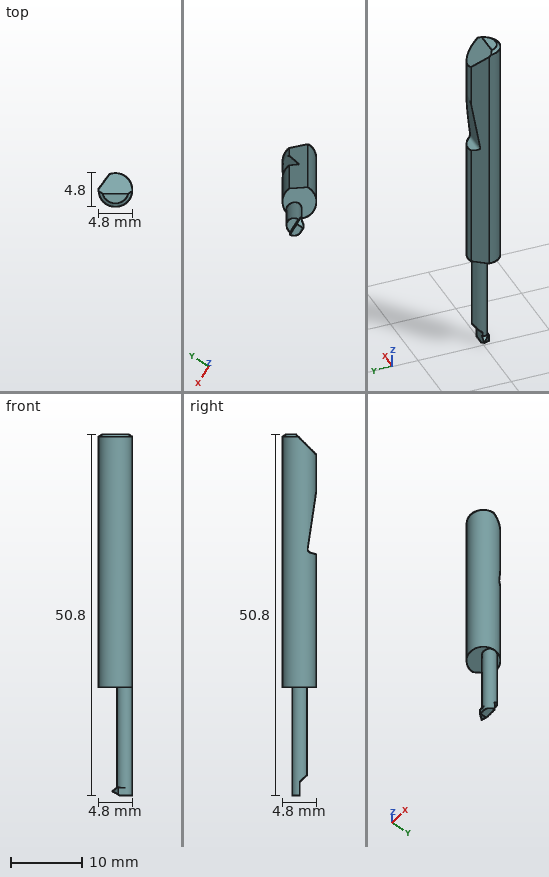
import cadquery as cq
import math

total_length = 50.8
neck_length = 15.25
shank_radius = 2.4

end_chamfer_width = 0.5
end_chamfer_height = 0.35
bevel_start_y = -0.5
flat_start_y = 0.15
flat_end_y = 2.25
notch_top_drop = 8.05
notch_floor_drop = 16.05
notch_bottom_drop = 16.85
notch_depth = 1.25
notch_fillet = 0.45

neck_diameter = 2.2
neck_radius = neck_diameter / 2
neck_center_x = shank_radius - neck_radius
rake_y = 0.05
neck_back_y = rake_y - neck_radius
relief_top_y = 1.05
relief_mid_x = 0.55
relief_mid_y = 0.7
rake_corner_z = 1.95
ramp_height = 0.95

tooth_point_x = -0.45
tooth_point_z = 0.6
tooth_heel_x = 0.43
tooth_heel_z = 0.15
tooth_root_z = 1.3
tooth_top_drop = 0.2

over = 0.5


def extrude_along_x(points, half_width):
    """Prism with a (y, z) outline, centred on X = 0."""
    return cq.Workplane("YZ").polyline(points).close().extrude(half_width, both=True)


def make_shank():
    cutter_width = 2 * shank_radius
    shank = (
        cq.Workplane("XY")
        .workplane(offset=neck_length)
        .circle(shank_radius)
        .extrude(total_length - neck_length)
        .faces(">Z")
        .chamfer(end_chamfer_height, end_chamfer_width)
    )
    return (
        shank.cut(make_side_flat())
        .cut(make_end_bevel(cutter_width))
        .cut(make_clamp_notch(cutter_width))
    )


def make_side_flat():
    """Segment of the shank outside the side chord."""
    start_x = -math.sqrt(shank_radius**2 - flat_start_y**2)
    end_x = -math.sqrt(shank_radius**2 - flat_end_y**2)
    middle_angle = (math.atan2(flat_start_y, start_x) + math.atan2(flat_end_y, end_x)) / 2
    outside = 2 * shank_radius
    return (
        cq.Workplane("XY")
        .workplane(offset=neck_length)
        .moveTo(start_x, flat_start_y)
        .lineTo(outside * math.cos(middle_angle), outside * math.sin(middle_angle))
        .lineTo(end_x, flat_end_y)
        .close()
        .extrude(total_length - neck_length)
    )


def make_end_bevel(width):
    outer_y = shank_radius + over
    return extrude_along_x(
        [
            (bevel_start_y, total_length),
            (outer_y, total_length - (outer_y - bevel_start_y)),
            (outer_y, total_length + over),
            (bevel_start_y, total_length + over),
        ],
        width,
    )


def make_clamp_notch(width):
    """Sloping clamp seat across the +Y side, with a rounded inner corner."""
    top_z = total_length - notch_top_drop
    floor_z = total_length - notch_floor_drop - notch_fillet
    bottom_z = total_length - notch_bottom_drop
    floor_y = shank_radius - notch_depth
    notch = extrude_along_x(
        [
            (shank_radius, top_z),
            (floor_y, floor_z),
            (shank_radius, bottom_z),
            (shank_radius + over, bottom_z),
            (shank_radius + over, top_z),
        ],
        width,
    )
    return notch.edges("<Y").fillet(notch_fillet)


def make_below_tooth_top():
    """Slab between the rake face and the back of the neck, under the sloping tooth top."""
    return extrude_along_x(
        [
            (rake_y, 0),
            (rake_y, tooth_root_z),
            (neck_back_y, tooth_root_z - tooth_top_drop),
            (neck_back_y, 0),
        ],
        2 * shank_radius,
    )


def make_neck():
    """Round on the -Y side and relieved on the +Y side, ending at the rake face."""
    left_x = neck_center_x - neck_radius
    right_x = neck_center_x + neck_radius
    relief_crown_x = neck_center_x + math.sqrt(neck_radius**2 - (relief_top_y - rake_y) ** 2)
    diagonal = neck_radius / math.sqrt(2)
    neck = (
        cq.Workplane("XY")
        .moveTo(left_x, rake_y)
        .threePointArc((neck_center_x, neck_back_y), (right_x, rake_y))
        .threePointArc((neck_center_x + diagonal, rake_y + diagonal), (relief_crown_x, relief_top_y))
        .threePointArc((relief_mid_x, relief_mid_y), (left_x, rake_y))
        .close()
        .extrude(neck_length)
    )
    rake_cut = extrude_along_x(
        [
            (rake_y, -over),
            (rake_y, rake_corner_z),
            (relief_top_y, rake_corner_z + ramp_height),
            (neck_radius + over, rake_corner_z + ramp_height),
            (neck_radius + over, -over),
        ],
        2 * shank_radius,
    )
    corner = cq.Workplane("XY").box(
        shank_radius, 2 * shank_radius, neck_length, centered=(False, True, False)
    )
    corner = corner.translate((neck_center_x - shank_radius, 0, 0))
    tooth_seat = corner.intersect(make_below_tooth_top())
    return neck.cut(rake_cut).cut(tooth_seat)


def make_tooth():
    """Pointed tooth whose side falls away behind the rake face."""
    plan = (
        cq.Workplane("XY")
        .polyline(
            [
                (neck_center_x, rake_y),
                (tooth_point_x, rake_y),
                (tooth_heel_x, neck_back_y),
                (neck_center_x, neck_back_y),
            ]
        )
        .close()
        .extrude(tooth_root_z)
    )
    outline = (
        cq.Workplane("XZ", origin=(0, rake_y, 0))
        .polyline(
            [
                (neck_center_x, 0),
                (tooth_heel_x + tooth_heel_z, 0),
                (tooth_heel_x, tooth_heel_z),
                (tooth_point_x, tooth_point_z),
                (tooth_heel_x, tooth_root_z),
                (neck_center_x, tooth_root_z),
            ]
        )
        .close()
        .extrude(neck_radius)
    )
    return plan.intersect(outline).intersect(make_below_tooth_top())


result = make_shank().union(make_neck()).union(make_tooth())